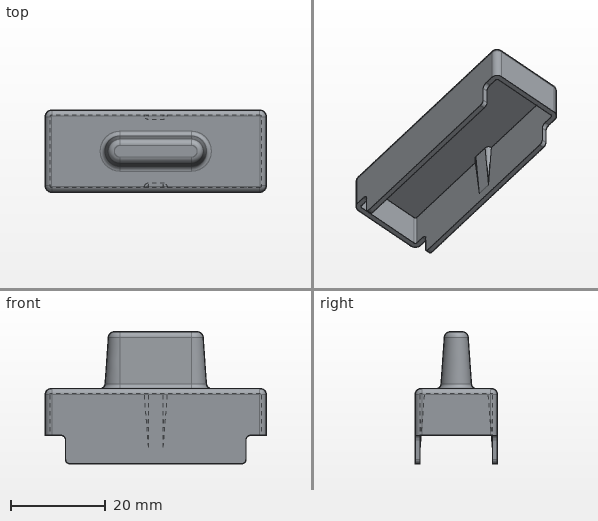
import cadquery as cq

length = 46.7
width = 17.4
total_height = 27.9
leg_height = 6.0
block_top = 15.9
corner_radius = 1.45
top_edge_radius = 1.3

leg_length = 38.1
leg_root_radius = 1.0
leg_tip_radius = 0.9

wall = 1.05
cavity_corner_radius = corner_radius - wall

rib_foot_height = 2.85
rib_foot_length = 3.0
rib_draft = 4.5

grip_straight = 15.0
grip_base_width = 6.6
grip_draft = 4.0
grip_tip_radius = 1.3
grip_root_radius = 1.0


def make_block():
    block = cq.Workplane("XY").rect(length, width).extrude(block_top)
    block = block.edges("|Z").fillet(corner_radius)
    return block.faces(">Z").edges().fillet(top_edge_radius)


def make_rib(side):
    """Rib with its foot flush with the inner wall face; the part inside the wall merges with it."""
    foot_y = side * (width / 2 - wall / 2)
    return (
        cq.Workplane("XY", origin=(0, foot_y, rib_foot_height))
        .rect(rib_foot_length, wall)
        .extrude(block_top - rib_foot_height, taper=-rib_draft)
    )


def make_cavity():
    """Hollow space of the block, with the two ribs left standing."""
    cavity = cq.Workplane("XY").rect(length - 2 * wall, width - 2 * wall).extrude(block_top - wall)
    cavity = cavity.edges("|Z").fillet(cavity_corner_radius)
    for side in (-1, 1):
        cavity = cavity.cut(make_rib(side))
    return cavity


def make_end_cut(side):
    """Cutter that removes the block below one end wall, leaving a rounded leg end."""
    leg_end = side * leg_length / 2
    outside = side * length
    root_x = leg_end + side * leg_root_radius
    tip_x = leg_end - side * leg_tip_radius
    outline = (
        cq.Workplane("XZ")
        .moveTo(outside, leg_height)
        .lineTo(root_x, leg_height)
        .radiusArc((leg_end, leg_height - leg_root_radius), -side * leg_root_radius)
        .lineTo(leg_end, leg_tip_radius)
        .radiusArc((tip_x, 0), side * leg_tip_radius)
        .lineTo(outside, 0)
        .close()
    )
    return outline.extrude(width, both=True)


def make_grip():
    grip = (
        cq.Workplane("XY", origin=(0, 0, block_top))
        .slot2D(grip_straight + grip_base_width, grip_base_width)
        .extrude(total_height - block_top, taper=grip_draft)
    )
    return grip.faces(">Z").edges().fillet(grip_tip_radius)


def fillet_grip_root(body):
    reach = (grip_straight + grip_base_width) / 2 + grip_root_radius
    tolerance = 0.1
    selector = cq.selectors.BoxSelector(
        (-reach, -grip_base_width, block_top - tolerance),
        (reach, grip_base_width, block_top + tolerance),
        boundingbox=True,
    )
    return body.edges(selector).fillet(grip_root_radius)


body = make_block().union(make_grip())
body = fillet_grip_root(body)
body = body.cut(make_cavity())
for end in (-1, 1):
    body = body.cut(make_end_cut(end))

result = body